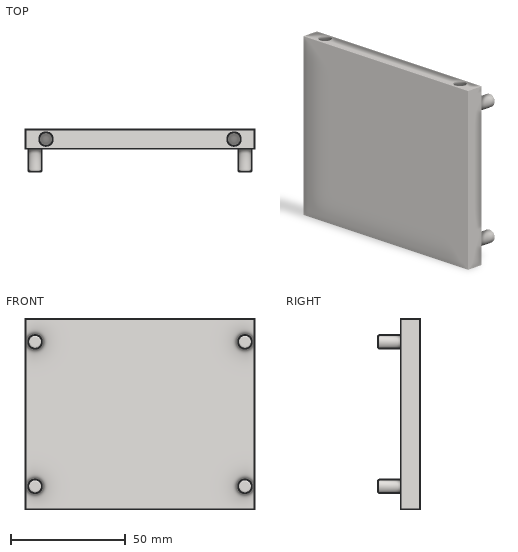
import cadquery as cq

width = 100.0
height = 83.0
thickness = 8.5

pin_diameter = 6.0
pin_length = 10.0
pin_rounding = 1.0
pin_spacing_x = width - thickness
pin_spacing_z = 63.0

hole_diameter = 6.0
hole_depth = 10.0
hole_spacing = 82.0


def make_plate():
    """Upright plate, centred on the origin."""
    return cq.Workplane("XY").box(width, thickness, height)


def make_pins():
    """Four pins pointing toward -Y, rounded at their free ends."""
    return (
        cq.Workplane("XZ", origin=(0, -thickness / 2, 0))
        .rarray(pin_spacing_x, pin_spacing_z, 2, 2)
        .circle(pin_diameter / 2)
        .extrude(pin_length)
        .faces("<Y")
        .edges().fillet(pin_rounding)
    )


def make_edge_holes():
    """Two flat-bottomed bores running down from the middle of the top edge."""
    return (
        cq.Workplane("XY", origin=(0, 0, height / 2))
        .pushPoints([(-hole_spacing / 2, 0), (hole_spacing / 2, 0)])
        .circle(hole_diameter / 2)
        .extrude(-hole_depth)
    )


result = make_plate().union(make_pins()).cut(make_edge_holes())